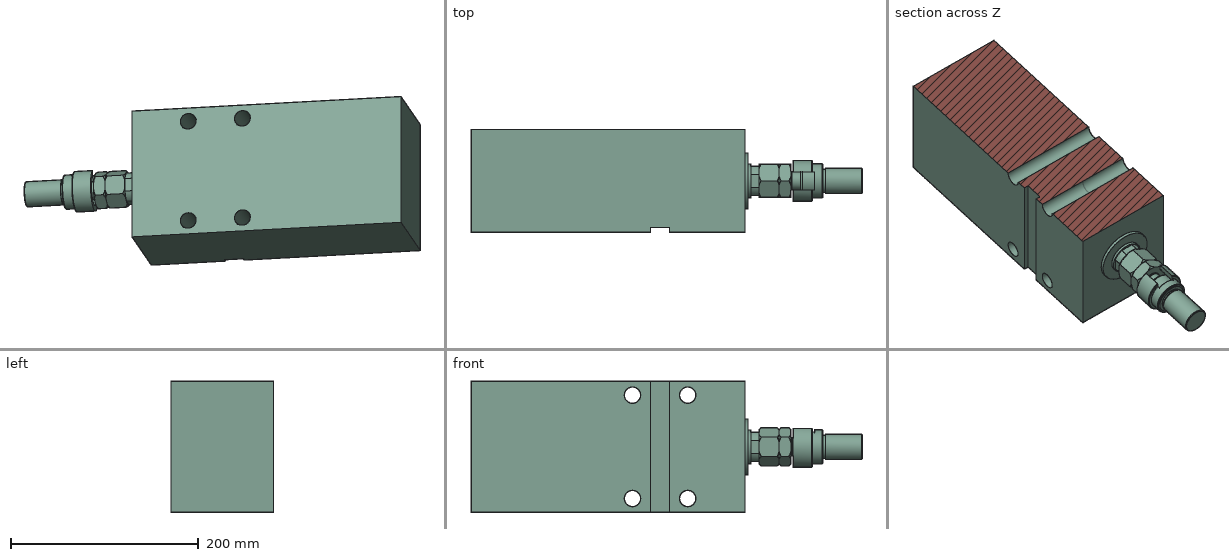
import cadquery as cq
import math


total_length = 417.5
housing_length = 292.2
housing_width = 110.0
housing_height = 140.0
groove_width = 20.0
groove_depth = 5.0
groove_center_x = 201.5
mount_hole_diameter = 17.0
mount_hole_spacing_x = 59.0
mount_hole_spacing_z = 110.2

washer_diameter = 59.5
washer_thickness = 3.5
flange_diameter = 36.5
flange_thickness = 3.0
shank_diameter = 34.2
shank_across_flats = 31.5
shank_length = 8.8
long_hex_length = 21.5

hex_across_flats = 35.5
hex_chamfer = 2.0

short_hex_length = 12.5
shoulder_diameter = 20.0
shoulder_length = 1.3
neck_diameter = 19.0
neck_length = 8.8
head_diameter = 31.7
head_chamfer = 2.5

ring_gap = 2.5
ring_diameter = 44.0
ring_length = 20.5
collar_diameter = 36.7
collar_length = 11.3
sleeve_chamfer = 1.0
slot_width = 19.0
slot_overrun = 2.5

cable_neck_diameter = 25.0
cable_neck_length = 2.5
cable_diameter = 27.0
cable_chamfer = 1.0

washer_end = housing_length + washer_thickness
flange_end = washer_end + flange_thickness
shank_end = flange_end + shank_length
long_hex_end = shank_end + long_hex_length
short_hex_end = long_hex_end + short_hex_length
shoulder_end = short_hex_end + shoulder_length
neck_end = shoulder_end + neck_length
ring_start = short_hex_end + ring_gap
ring_end = ring_start + ring_length
collar_end = ring_end + collar_length
cable_start = collar_end + cable_neck_length


def cylinder(diameter, start_x, end_x):
    """Solid cylinder on the fitting axis, with its seam facing +Z."""
    return (
        cq.Workplane("XZ")
        .moveTo(start_x, 0)
        .lineTo(start_x, diameter / 2)
        .lineTo(end_x, diameter / 2)
        .lineTo(end_x, 0)
        .close()
        .revolve(360, (0, 0, 0), (1, 0, 0))
    )


def hexagon(start_x, end_x):
    """Hexagonal prism with corners at +Z and -Z, turned to a cone at both ends."""
    corner_diameter = hex_across_flats / math.cos(math.radians(30))
    prism = (
        cq.Workplane("YZ", origin=(start_x, 0, 0))
        .polygon(6, corner_diameter)
        .extrude(end_x - start_x)
        .rotate((0, 0, 0), (1, 0, 0), 90)
    )
    turned_blank = cylinder(corner_diameter, start_x, end_x).faces("<X or >X").chamfer(hex_chamfer)
    return prism.intersect(turned_blank)


def make_housing():
    """Rectangular block with four through holes and a groove across its -Y face."""
    block = cq.Workplane("XY").box(housing_length, housing_width, housing_height).translate(
        (housing_length / 2, 0, 0)
    )
    groove = cq.Workplane("XY").box(groove_width, 2 * groove_depth, housing_height).translate(
        (groove_center_x, -housing_width / 2, 0)
    )
    holes = (
        cq.Workplane("XZ", origin=(groove_center_x, 0, 0))
        .rarray(mount_hole_spacing_x, mount_hole_spacing_z, 2, 2)
        .circle(mount_hole_diameter / 2)
        .extrude(housing_width / 2, both=True)
    )
    return block.cut(groove).cut(holes)


def make_bulkhead_fitting():
    """Washer face, flange, round shank with four wrench flats, and the long hexagon."""
    shank = cylinder(shank_diameter, flange_end, shank_end)
    flats = cq.Workplane("YZ", origin=(flange_end, 0, 0)).rect(shank_across_flats, shank_across_flats)
    return (
        cylinder(washer_diameter, housing_length, washer_end)
        .union(cylinder(flange_diameter, washer_end, flange_end))
        .union(shank.intersect(flats.extrude(shank_length)))
        .union(hexagon(shank_end, long_hex_end))
    )


def make_coupling_body():
    """Short hexagon behind the long one, stepped neck, and the head that fills the sleeve bore."""
    head = cylinder(head_diameter, neck_end, collar_end).faces("<X").chamfer(head_chamfer)
    return (
        hexagon(long_hex_end, short_hex_end)
        .union(cylinder(shoulder_diameter, short_hex_end, shoulder_end))
        .union(cylinder(neck_diameter, shoulder_end, neck_end))
        .union(head)
    )


def make_coupling_sleeve():
    """Ring and collar around the head of the coupling body, with an open slot on the +Z side."""
    ring = cylinder(ring_diameter, ring_start, ring_end).faces(">X").chamfer(sleeve_chamfer)
    collar = cylinder(collar_diameter, ring_start, collar_end).faces(">X").chamfer(sleeve_chamfer)
    bore = cylinder(head_diameter, ring_start, collar_end)
    slot_length = ring_length + slot_overrun
    slot = cq.Workplane("XY").box(slot_length, slot_width, ring_diameter, centered=(False, True, False))
    return ring.union(collar).cut(bore).cut(slot.translate((ring_start, 0, 0)))


def make_cable_end():
    """Round cable end on a short, thinner neck."""
    cable_neck = cylinder(cable_neck_diameter, collar_end, cable_start)
    cable = cylinder(cable_diameter, cable_start, total_length).faces(">X").chamfer(cable_chamfer)
    return cable_neck.union(cable)


housing = make_housing()
bulkhead_fitting = make_bulkhead_fitting()
coupling_body = make_coupling_body()
coupling_sleeve = make_coupling_sleeve()
cable_end = make_cable_end()

result = cq.Compound.makeCompound(
    [
        housing.val(),
        bulkhead_fitting.val(),
        coupling_body.val(),
        coupling_sleeve.val(),
        cable_end.val(),
    ]
)